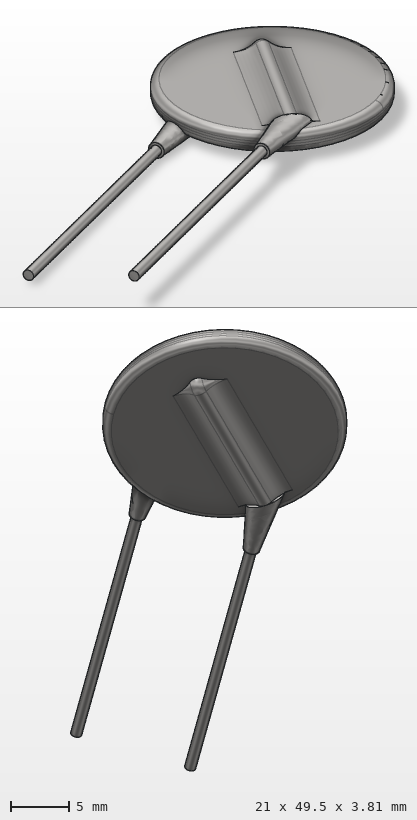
import cadquery as cq
import math

disc_radius = 10.5
disc_thickness = 2.0
disc_edge_radius = 0.75
disc_face_z = disc_thickness / 2

overall_length = 49.5
lead_spacing = 10.0
lead_radius = 0.5
lead_z = 1.05
lead_x = lead_spacing / 2
lead_end_y = disc_radius - overall_length

ridge_top_z = 1.905
ridge_half_width = 2.5
ridge_length = 14.1
ridge_slant = 55.0
ridge_end_y = -7.0
ridge_axis_z = 0.75

sleeve_half_width = 1.85
sleeve_half_height = 0.965
sleeve_tip_radius = 0.75
sleeve_tip_y = -12.9
collar_length = 0.1

slant = math.radians(ridge_slant)
ridge_direction = cq.Vector(math.cos(slant), -math.sin(slant), 0)
ridge_side = cq.Vector(math.sin(slant), math.cos(slant), 0)
ridge_end = cq.Vector(lead_x, ridge_end_y, 0)
ridge_start = ridge_end - ridge_direction * ridge_length


def make_disc():
    disc = cq.Workplane("XY").circle(disc_radius).extrude(disc_face_z, both=True)
    return disc.faces("|Z").edges().fillet(disc_edge_radius)


def ridge_outline(plane):
    """Round crest around the lead, blended into the disc face by a tangent flare on each side."""
    crest_radius = ridge_top_z - lead_z
    drop = lead_z - disc_face_z
    flare_radius = (ridge_half_width**2 + drop**2 - crest_radius**2) / (2 * (crest_radius + drop))
    flare_z = disc_face_z + flare_radius
    share = crest_radius / (crest_radius + flare_radius)
    touch = (ridge_half_width * share, lead_z + (flare_z - lead_z) * share)
    half_turn = math.asin((ridge_half_width - touch[0]) / flare_radius) / 2
    flare_middle = (
        ridge_half_width - flare_radius * math.sin(half_turn),
        flare_z - flare_radius * math.cos(half_turn),
    )
    outline = cq.Workplane(plane).moveTo(ridge_half_width, disc_face_z)
    outline = outline.threePointArc(flare_middle, touch)
    outline = outline.threePointArc((0, ridge_top_z), (-touch[0], touch[1]))
    outline = outline.threePointArc((-flare_middle[0], flare_middle[1]), (-ridge_half_width, disc_face_z))
    return outline.close()


def make_ridge():
    plane = cq.Plane(ridge_start, ridge_side, ridge_direction)
    bar = ridge_outline(plane).extrude(ridge_length)
    axis_start = (-ridge_half_width, ridge_axis_z)
    axis_end = (ridge_half_width, ridge_axis_z)
    rounded_end = ridge_outline(plane).revolve(360, axis_start, axis_end)
    return bar.union(rounded_end)


def make_sleeve():
    sleeve_root = ridge_end + cq.Vector(0, 0, ridge_top_z - sleeve_half_height)
    root_plane = cq.Plane(sleeve_root, ridge_side, ridge_direction)
    tip_plane = cq.Plane((lead_x, sleeve_tip_y + collar_length, lead_z), (1, 0, 0), (0, -1, 0))
    root = cq.Workplane(root_plane).ellipse(sleeve_half_width, sleeve_half_height).val()
    tip = cq.Workplane(tip_plane).ellipse(sleeve_tip_radius, sleeve_tip_radius).val()
    taper = cq.Workplane(cq.Solid.makeLoft([root, tip], True))
    collar = cq.Workplane(tip_plane).circle(sleeve_tip_radius).extrude(collar_length)
    return taper.union(collar)


def make_lead():
    plane = cq.Plane((lead_x, ridge_end_y, lead_z), (1, 0, 0), (0, -1, 0))
    return cq.Workplane(plane).circle(lead_radius).extrude(ridge_end_y - lead_end_y)


terminal = make_ridge().union(make_sleeve()).union(make_lead())
opposite_terminal = terminal.rotate((0, 0, 0), (0, 1, 0), 180)

result = make_disc().union(terminal).union(opposite_terminal)